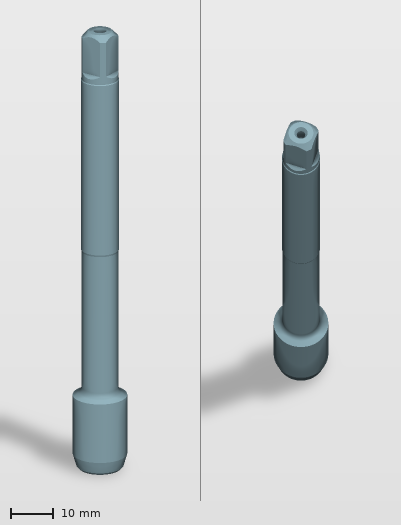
import cadquery as cq
import math

total_length = 110.0

head_diameter = 12.82
head_length = 18.0
lead_length = 3.55
lead_end_diameter = 11.12
tip_chamfer_height = 0.6

shoulder_start = 18.3
shoulder_cone_angle = 30.0
shoulder_fillet_radius = 1.4

neck_diameter = 8.7
shank_diameter = 9.0
shank_start = 55.1
neck_step_angle = 18.0
shank_end = 97.82

drive_diameter = 8.64
drive_across_flats = 7.0
drive_flat_start = 100.0
drive_top_diameter = 5.8

centre_hole_diameter = 2.0
centre_hole_depth = 4.0
centre_hole_mouth_diameter = 3.1
countersink_angle = 60.0
drill_point_angle = 118.0


def cone_height(large_diameter, small_diameter, full_angle):
    """Height of a cone between two diameters for a full cone angle in degrees."""
    return (large_diameter - small_diameter) / 2 / math.tan(math.radians(full_angle / 2))


def make_head():
    """Cylinder with a lead taper and a small chamfer at the tip."""
    tip_diameter = lead_end_diameter - 2 * tip_chamfer_height
    return (
        cq.Workplane("XZ")
        .moveTo(0, 0)
        .lineTo(tip_diameter / 2, 0)
        .lineTo(lead_end_diameter / 2, tip_chamfer_height)
        .lineTo(head_diameter / 2, lead_length)
        .lineTo(head_diameter / 2, head_length)
        .lineTo(0, head_length)
        .close()
        .revolve(360, (0, 0, 0), (0, 1, 0))
    )


def turned_shank():
    """Shoulder, neck, shank and round drive end as one turned body."""
    cone_slope = math.radians(shoulder_cone_angle)
    fillet_start_radius = neck_diameter / 2 + shoulder_fillet_radius * (1 - math.sin(cone_slope))
    fillet_start = shoulder_start + (head_diameter / 2 - fillet_start_radius) * math.tan(cone_slope)
    fillet_end = fillet_start + shoulder_fillet_radius * math.cos(cone_slope)
    neck_step = cone_height(shank_diameter, neck_diameter, 2 * neck_step_angle)
    drive_step = (shank_diameter - drive_diameter) / 2
    end_chamfer = (drive_diameter - drive_top_diameter) / 2
    return (
        cq.Workplane("XZ")
        .moveTo(0, head_length)
        .lineTo(head_diameter / 2, head_length)
        .lineTo(head_diameter / 2, shoulder_start)
        .lineTo(fillet_start_radius, fillet_start)
        .tangentArcPoint((neck_diameter / 2, fillet_end), relative=False)
        .lineTo(neck_diameter / 2, shank_start - neck_step)
        .lineTo(shank_diameter / 2, shank_start)
        .lineTo(shank_diameter / 2, shank_end)
        .lineTo(drive_diameter / 2, shank_end + drive_step)
        .lineTo(drive_diameter / 2, total_length - end_chamfer)
        .lineTo(drive_top_diameter / 2, total_length)
        .lineTo(0, total_length)
        .close()
        .revolve(360, (0, 0, 0), (0, 1, 0))
    )


def drive_flat_cutter():
    """Material outside one flat, with a 45 degree run-out at its lower end."""
    flat_offset = drive_across_flats / 2
    outer = shank_diameter
    run_out = outer - flat_offset
    return (
        cq.Workplane("XZ")
        .moveTo(flat_offset, total_length)
        .lineTo(flat_offset, drive_flat_start)
        .lineTo(outer, drive_flat_start - run_out)
        .lineTo(outer, total_length)
        .close()
        .extrude(shank_diameter, both=True)
    )


def centre_hole():
    """Countersunk blind hole with a drill point."""
    countersink_depth = cone_height(centre_hole_mouth_diameter, centre_hole_diameter, countersink_angle)
    point_height = cone_height(centre_hole_diameter, 0, drill_point_angle)
    bottom = total_length - centre_hole_depth
    return (
        cq.Workplane("XZ")
        .moveTo(0, total_length)
        .lineTo(centre_hole_mouth_diameter / 2, total_length)
        .lineTo(centre_hole_diameter / 2, total_length - countersink_depth)
        .lineTo(centre_hole_diameter / 2, bottom)
        .lineTo(0, bottom - point_height)
        .close()
        .revolve(360, (0, 0, 0), (0, 1, 0))
    )


def make_shank():
    """Turned shank with four drive flats and a centre hole."""
    shank = turned_shank()
    for quarter_turn in range(4):
        flat = drive_flat_cutter().rotate((0, 0, 0), (0, 0, 1), 90 * quarter_turn)
        shank = shank.cut(flat)
    return shank.cut(centre_hole())


head = make_head()
shank = make_shank()

result = cq.Compound.makeCompound([head.val(), shank.val()])